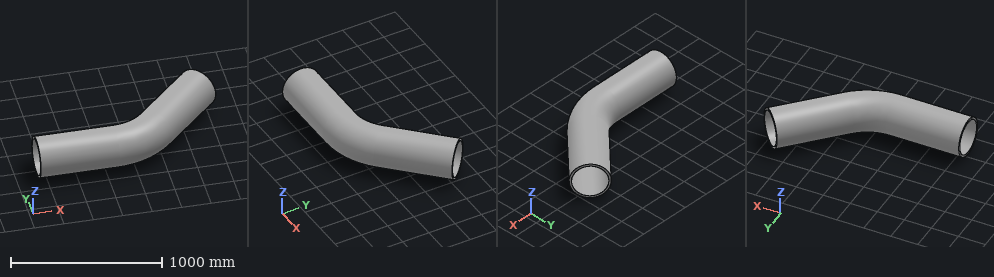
import cadquery as cq
import math

overall_length = 1311.0
outer_diameter = 280.0
inner_diameter = 246.0
bend_angle = 45.0
bend_radius = 1.5 * outer_diameter
outlet_length = 535.0

angle = math.radians(bend_angle)
outer_radius = outer_diameter / 2
inlet_length = (
    overall_length
    - (bend_radius + outer_radius) * math.sin(angle)
    - outlet_length * math.cos(angle)
)

bend_start = (inlet_length, 0)


def point_on_bend(turn):
    """Return the centreline point after turning by the given angle in radians."""
    return (
        inlet_length + bend_radius * math.sin(turn),
        bend_radius * (1 - math.cos(turn)),
    )


bend_middle = point_on_bend(angle / 2)
bend_end = point_on_bend(angle)
outlet_end = (
    bend_end[0] + outlet_length * math.cos(angle),
    bend_end[1] + outlet_length * math.sin(angle),
)
centreline = (
    cq.Workplane("XY")
    .lineTo(*bend_start)
    .threePointArc(bend_middle, bend_end)
    .lineTo(*outlet_end)
    .wire()
)

result = (
    cq.Workplane("YZ")
    .circle(outer_radius)
    .circle(inner_diameter / 2)
    .sweep(centreline)
)